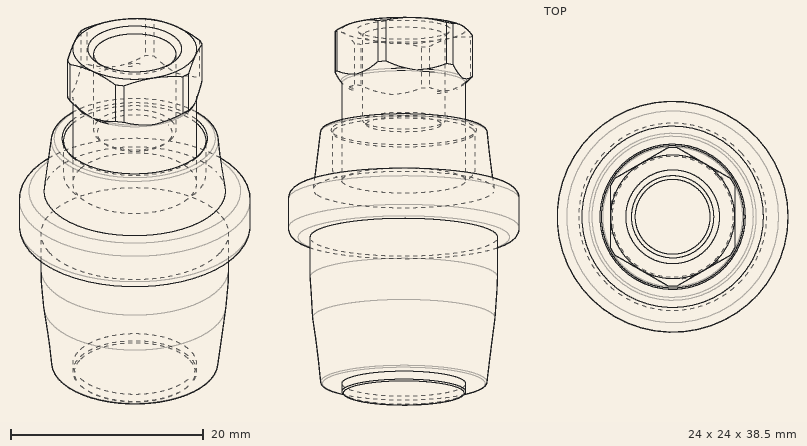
import cadquery as cq
import math

TOTAL_HEIGHT = 38.5
SLEEVE_BOTTOM = 1.0
SLEEVE_TOP = 27.87
TAPER = math.radians(7.0)
CONE_ANGLE = math.radians(45.0)

COLLAR_DIAMETER = 24.0
COLLAR_BOTTOM = 16.5
COLLAR_TOP = 21.55
COLLAR_FILLET = 1.0
SLEEVE_TOP_DIAMETER = 17.3
SLEEVE_BARREL_DIAMETER = 19.5
BARREL_ARC_TOP = 12.3
BARREL_ARC_BOTTOM = 7.97
SLEEVE_TOP_FILLET = 0.3
SLEEVE_BOTTOM_FILLET = 0.2

GAP_WALL_DIAMETER = 14.8
GAP_RIM_DIAMETER = 15.1
GAP_RIM_DEPTH = 0.27
GAP_WALL_DEPTH = 4.2
GAP_FLOOR_FILLET = 0.45

STEM_DIAMETER = 12.85
STEM_BOTTOM_CHAMFER = 0.15
HEX_ACROSS_FLATS = 12.9
HEX_CORNER_DIAMETER = 14.4
HEX_HEIGHT = 5.65
HEX_ROOT_FILLET = 0.35
HEX_HALF_ANGLE = math.radians(30.0)
HEX_TOP_ANGLE = math.radians(27.0)

BORE_DIAMETER = 8.55
BORE_MOUTH_DIAMETER = 9.75
BORE_FLOOR_DIAMETER = 7.78
BORE_DEPTH = 10.0


def revolve_about_z(profile):
    """Turn a closed (radius, height) profile on the XZ plane about the Z axis."""
    return profile.close().revolve(360, (0, 0, 0), (0, 1, 0))


def make_sleeve():
    """Sleeve: tapered top, round-edged collar, barrel curving into a tapered end."""
    barrel_radius = SLEEVE_BARREL_DIAMETER / 2
    top_radius = SLEEVE_TOP_DIAMETER / 2
    cone_base_radius = top_radius + (SLEEVE_TOP - COLLAR_TOP) * math.tan(TAPER)

    arc_radius = (BARREL_ARC_TOP - BARREL_ARC_BOTTOM) / math.sin(TAPER)
    arc_center = barrel_radius - arc_radius
    arc_end_radius = arc_center + arc_radius * math.cos(TAPER)
    arc_middle = (
        arc_center + arc_radius * math.cos(TAPER / 2),
        BARREL_ARC_TOP - arc_radius * math.sin(TAPER / 2),
    )
    bottom_radius = arc_end_radius - (BARREL_ARC_BOTTOM - SLEEVE_BOTTOM) * math.tan(TAPER)

    profile = (
        cq.Workplane("XZ")
        .moveTo(0, SLEEVE_BOTTOM)
        .lineTo(bottom_radius, SLEEVE_BOTTOM)
        .lineTo(arc_end_radius, BARREL_ARC_BOTTOM)
        .threePointArc(arc_middle, (barrel_radius, BARREL_ARC_TOP))
        .lineTo(barrel_radius, COLLAR_TOP)
        .lineTo(cone_base_radius, COLLAR_TOP)
        .lineTo(top_radius, SLEEVE_TOP)
        .lineTo(0, SLEEVE_TOP)
    )
    body = revolve_about_z(profile)
    body = body.faces(">Z").edges().fillet(SLEEVE_TOP_FILLET)
    body = body.faces("<Z").edges().fillet(SLEEVE_BOTTOM_FILLET)

    collar = (
        cq.Workplane("XY", origin=(0, 0, COLLAR_BOTTOM))
        .circle(COLLAR_DIAMETER / 2)
        .extrude(COLLAR_TOP - COLLAR_BOTTOM)
        .edges()
        .fillet(COLLAR_FILLET)
    )
    return body.union(collar)


def make_gap():
    """Cutter for the gap: bevelled rim, wall, rounded corner, 45 degree floor down to the stem."""
    wall_radius = GAP_WALL_DIAMETER / 2
    stem_radius = STEM_DIAMETER / 2
    wall_bottom = SLEEVE_TOP - GAP_WALL_DEPTH
    corner_center = wall_radius - GAP_FLOOR_FILLET

    def corner_point(angle):
        return (
            corner_center + GAP_FLOOR_FILLET * math.cos(angle),
            wall_bottom - GAP_FLOOR_FILLET * math.sin(angle),
        )

    floor_start = corner_point(CONE_ANGLE)
    floor_end = floor_start[1] - (floor_start[0] - stem_radius)

    profile = (
        cq.Workplane("XZ")
        .moveTo(0, SLEEVE_TOP)
        .lineTo(GAP_RIM_DIAMETER / 2, SLEEVE_TOP)
        .lineTo(wall_radius, SLEEVE_TOP - GAP_RIM_DEPTH)
        .lineTo(wall_radius, wall_bottom)
        .threePointArc(corner_point(CONE_ANGLE / 2), floor_start)
        .lineTo(stem_radius, floor_end)
        .lineTo(0, floor_end)
    )
    return revolve_about_z(profile)


def make_stem():
    return (
        cq.Workplane("XY")
        .circle(STEM_DIAMETER / 2)
        .extrude(TOTAL_HEIGHT)
        .faces("<Z")
        .edges()
        .chamfer(STEM_BOTTOM_CHAMFER)
    )


def make_hex_head():
    """Hexagon with corners on the Y axis, turned to a corner diameter and coned at both ends."""
    head_bottom = TOTAL_HEIGHT - HEX_HEIGHT
    hexagon = (
        cq.Workplane("XY", origin=(0, 0, head_bottom))
        .transformed(rotate=(0, 0, 90))
        .polygon(6, HEX_ACROSS_FLATS / math.cos(HEX_HALF_ANGLE))
        .extrude(HEX_HEIGHT)
    )
    end_radius = STEM_DIAMETER / 2
    corner_radius = HEX_CORNER_DIAMETER / 2

    def root_point(angle):
        return (
            end_radius + HEX_ROOT_FILLET * (1 - math.cos(angle)),
            head_bottom + HEX_ROOT_FILLET * math.sin(angle),
        )

    cone_start = root_point(CONE_ANGLE)
    cone_end = cone_start[1] + (corner_radius - cone_start[0])
    top_cone_height = (corner_radius - end_radius) * math.tan(HEX_TOP_ANGLE)
    profile = (
        cq.Workplane("XZ")
        .moveTo(0, head_bottom)
        .lineTo(end_radius, head_bottom)
        .threePointArc(root_point(CONE_ANGLE / 2), cone_start)
        .lineTo(corner_radius, cone_end)
        .lineTo(corner_radius, TOTAL_HEIGHT - top_cone_height)
        .lineTo(end_radius, TOTAL_HEIGHT)
        .lineTo(0, TOTAL_HEIGHT)
    )
    return hexagon.intersect(revolve_about_z(profile))


def make_bore():
    """Cutter for the blind bore, with 45 degree cones at its mouth and at its floor."""
    mouth_radius = BORE_MOUTH_DIAMETER / 2
    bore_radius = BORE_DIAMETER / 2
    floor_radius = BORE_FLOOR_DIAMETER / 2
    floor = TOTAL_HEIGHT - BORE_DEPTH
    profile = cq.Workplane("XZ").polyline([
        (0, TOTAL_HEIGHT),
        (mouth_radius, TOTAL_HEIGHT),
        (bore_radius, TOTAL_HEIGHT - (mouth_radius - bore_radius)),
        (bore_radius, floor + (bore_radius - floor_radius)),
        (floor_radius, floor),
        (0, floor),
    ])
    return revolve_about_z(profile)


sleeve = make_sleeve().cut(make_gap())
result = sleeve.union(make_stem()).union(make_hex_head()).cut(make_bore())